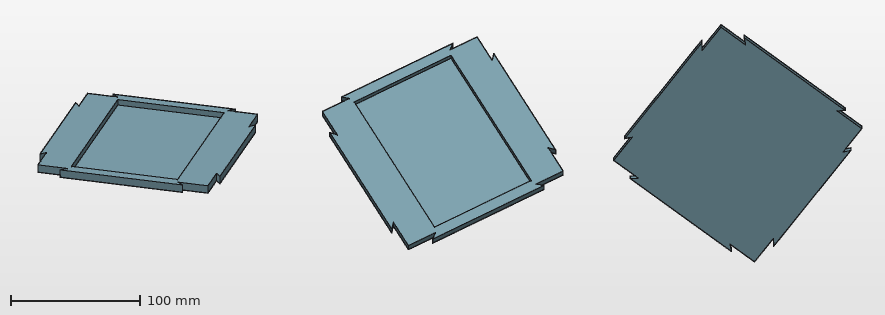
import cadquery as cq

overall_size = 145.3
thickness = 6.4
tail_depth = 4.0
tail_tip_width = 98.8
tail_root_width = 89.2
pocket_length_x = 85.7
pocket_length_y = 127.8
pocket_depth = 4.6

plate_size = overall_size - 2 * tail_depth


def make_dovetail(angle):
    """Dovetail on the +Y edge, turned about Z to the requested side."""
    root_y = plate_size / 2
    tip_y = overall_size / 2
    tail = (
        cq.Workplane("XY")
        .polyline([
            (-tail_root_width / 2, root_y),
            (-tail_tip_width / 2, tip_y),
            (tail_tip_width / 2, tip_y),
            (tail_root_width / 2, root_y),
        ])
        .close()
        .extrude(thickness)
    )
    return tail.rotate((0, 0, 0), (0, 0, 1), angle)


result = cq.Workplane("XY").rect(plate_size, plate_size).extrude(thickness)

for side_angle in (0, 90, 180, 270):
    result = result.union(make_dovetail(side_angle))

pocket = (
    cq.Workplane("XY", origin=(0, 0, thickness - pocket_depth))
    .rect(pocket_length_x, pocket_length_y)
    .extrude(pocket_depth)
)
result = result.cut(pocket)